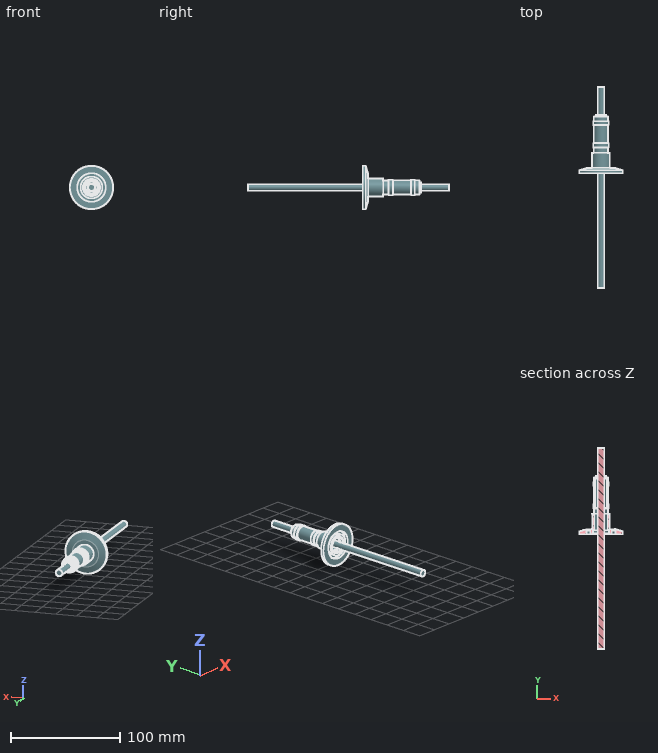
import cadquery as cq


ROD_RADIUS = 6.35 / 2
ROD_LENGTH = 184.15
ROD_BACK_PROJECTION = 25.4

FLANGE_RADIUS = 39.88 / 2
RIM_THICKNESS = 3.0
FLANGE_THICKNESS = 5.1
FLANGE_BACK_RADIUS = 12.7
GROOVE_OUTER_RADIUS = 13.1
GROOVE_INNER_RADIUS = 10.05
GROOVE_DEPTH = 3.2

SLEEVE_RADIUS = 8.255
SLEEVE_END = 18.9
TUBE_RADIUS = 6.65
TUBE_END = 52.2
TUBE_END_CHAMFER = 0.4
COLLAR_RADIUS = 4.95
COLLAR_END = 53.8

BAND_RADIUS = 7.2
BAND_LENGTH = 3.6
FRONT_BAND_START = 23.9
BACK_BAND_START = 44.4
FOOT_SIZE = 0.45

SEAT_RADIUS = 7.9
SEAT_END = 1.0
SLEEVE_BORE_RADIUS = 7.2
SLEEVE_BORE_END = 4.0
NECK_BORE_RADIUS = 6.0
NECK_BORE_END = FRONT_BAND_START
TUBE_BORE_RADIUS = 5.3
TUBE_BORE_END = 51.0
LIP_BEVEL_LENGTH = 0.7
ROD_CLEARANCE_RADIUS = 3.6


def disc(radius, start, end):
    """Solid cylinder on the Y axis between two Y positions."""
    return cq.Workplane("XZ", origin=(0, start, 0)).circle(radius).extrude(start - end)


def turned(profile):
    """Solid of revolution about the Y axis from (radius, y) points."""
    return cq.Workplane("XY").polyline(profile).close().revolve(360, (0, 0, 0), (0, 1, 0))


def taper(start_radius, start, end_radius, end):
    """Solid truncated cone on the Y axis between two Y positions."""
    return turned([(0, start), (start_radius, start), (end_radius, end), (0, end)])


def make_flange():
    profile = [
        (0, 0),
        (FLANGE_RADIUS, 0),
        (FLANGE_RADIUS, RIM_THICKNESS),
        (FLANGE_BACK_RADIUS, FLANGE_THICKNESS),
        (0, FLANGE_THICKNESS),
    ]
    blank = turned(profile)
    groove = disc(GROOVE_OUTER_RADIUS, 0, GROOVE_DEPTH).cut(disc(GROOVE_INNER_RADIUS, 0, GROOVE_DEPTH))
    return blank.cut(groove)


def make_band(start):
    return disc(BAND_RADIUS, start, start + BAND_LENGTH)


def make_foot(face_y, direction):
    """Taper from a band face at face_y down to the tube surface."""
    return taper(TUBE_RADIUS + FOOT_SIZE, face_y, TUBE_RADIUS, face_y + direction * FOOT_SIZE)


def make_outside():
    outside = make_flange()
    outside = outside.union(disc(SLEEVE_RADIUS, 0, SLEEVE_END))
    tube = disc(TUBE_RADIUS, 0, TUBE_END).faces(">Y").chamfer(TUBE_END_CHAMFER)
    outside = outside.union(tube)
    outside = outside.union(disc(COLLAR_RADIUS, 0, COLLAR_END))
    for start in (FRONT_BAND_START, BACK_BAND_START):
        outside = outside.union(make_band(start)).union(make_foot(start, -1))
    return outside.union(make_foot(FRONT_BAND_START + BAND_LENGTH, 1))


def make_lip_bevel():
    """Space round the front lip of the tube bore, whose bevel widens away from the flange."""
    bevel_end = NECK_BORE_END + LIP_BEVEL_LENGTH
    lip = taper(TUBE_BORE_RADIUS, NECK_BORE_END, NECK_BORE_RADIUS, bevel_end)
    return disc(NECK_BORE_RADIUS, NECK_BORE_END, bevel_end).cut(lip)


def make_housing():
    bore_steps = [
        (SEAT_RADIUS, SEAT_END),
        (SLEEVE_BORE_RADIUS, SLEEVE_BORE_END),
        (NECK_BORE_RADIUS, NECK_BORE_END),
        (TUBE_BORE_RADIUS, TUBE_BORE_END),
        (ROD_CLEARANCE_RADIUS, TUBE_END),
        (ROD_RADIUS, COLLAR_END),
    ]
    housing = make_outside()
    for radius, end in bore_steps:
        housing = housing.cut(disc(radius, 0, end))
    return housing.cut(make_lip_bevel())


def make_rod():
    back_end = COLLAR_END + ROD_BACK_PROJECTION
    return disc(ROD_RADIUS, back_end - ROD_LENGTH, back_end)


housing = make_housing()
rod = make_rod()

result = cq.Compound.makeCompound([housing.val(), rod.val()])